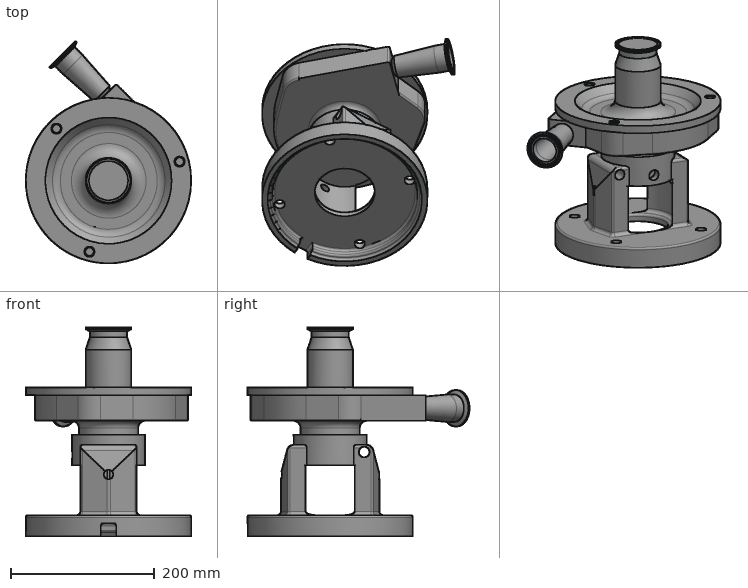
import cadquery as cq
import math

flange_radius = 115.05
base_height = 29.3
base_edge_fillet = 2.8
recess_radius = 101.0
recess_height = 18.0
recess_fillet = 3.5
recess_mouth_depth = 2.5
recess_step_radius = 3.0
bore_radius = 41.7
bore_edge_fillet = 3.7
base_hole_radius = 7.0
base_hole_circle_radius = 92.7
notch_width = 21.0
notch_length = 21.5
notch_fillet = 3.5

leg_half_width = 39.2
leg_ridge_y = 69.0
leg_shoulder_y = 59.0
leg_top = 127.3
leg_inner_radius = 52.0
leg_slope_low_z = 86.0
leg_slope_high_y = 60.0
leg_slope_high_z = 120.0
leg_corner_fillet = 3.5
leg_ridge_fillet = 9.3
leg_top_fillet = 10.2
leg_side_fillet = 4.0
leg_foot_fillet = 5.3
ridge_hole_radius = 6.5
sight_slot_width = 2.8

hub_radius = 51.0
hub_bottom = 98.5
hub_top = 141.2
neck_radius = 41.5
neck_flare = 9.5
cross_hole_radius = 7.25
leg_hole_y, leg_hole_z = 47.3, 117.0
hub_hole_z = 113.0
hub_hole_depth = 12.5

casing_bottom = 160.3
casing_top = 196.0
casing_edge_fillet = 2.5
lobe_angles = (15.0, 135.0, 255.0)
lobe_offset = 83.7
lobe_radius = 30.0
wide_spread = 35.0
narrow_spread = 30.0

flange_top = 207.0
bolt_circle_radius = 102.2
bolt_hole_radius = 6.0
bolt_hole_chamfer = 1.2
bolt_hole_depth = 31.0
dish_rim_radius = 87.7
dish_cone_radius = 78.0
dish_cone_depth = 10.8
dish_floor_outer_radius = 67.3
dish_floor_inner_radius = 52.0
dish_floor_depth = 15.5

total_height = 290.5
inlet_radius = 31.8
inlet_shoulder_z = 259.5
inlet_neck_radius = 26.0
inlet_neck_bottom_z = 276.8
inlet_neck_top_z = 284.8
ferrule_thickness = 2.5
ferrule_groove_depth = 1.0
inlet_groove_radius = 27.2
inlet_groove_width = 3.0

outlet_direction = 135.0
outlet_end = 169.5
outlet_axis_offset = 79.0
outlet_ferrule_radius = 25.48
outlet_groove_radius = 20.5
outlet_groove_width = 2.2
outlet_radius = 19.0
outlet_straight = 20.0
outlet_root_radius = 15.5
outlet_wall = 2.2
outlet_bore_straight = 12.7
outlet_axis_z = 178.0
outlet_root_bevel = 4.5
ferrule_flare = 2.5
block_end = 87.5
block_corner_fillet = 3.0


def polar(radius, angle):
    """Point at the given radius and angle in degrees."""
    return cq.Vector(radius * math.cos(math.radians(angle)), radius * math.sin(math.radians(angle)))


def cylinder(radius, bottom, top):
    return cq.Workplane("XY").workplane(offset=bottom).circle(radius).extrude(top - bottom)


def ring(inner, outer, bottom, top):
    return cylinder(outer, bottom, top).cut(cylinder(inner, bottom, top))


def rod_x(radius, y, z, start, end):
    return cq.Workplane("YZ", origin=(start, 0, 0)).center(y, z).circle(radius).extrude(end - start)


def make_base():
    plate = cylinder(flange_radius, 0, base_height).faces(">Z").edges().fillet(base_edge_fillet)
    recess = cylinder(recess_radius, 0, recess_height).faces(">Z").edges().fillet(recess_fillet)

    step = recess_step_radius
    bulge = step * math.sqrt(0.5)
    middle_radius = recess_radius + step
    middle_z = recess_mouth_depth + step
    mouth = (
        cq.Workplane("XZ")
        .lineTo(middle_radius + step, 0)
        .lineTo(middle_radius + step, recess_mouth_depth)
        .threePointArc((middle_radius + bulge, middle_z - step + bulge), (middle_radius, middle_z))
        .threePointArc((middle_radius - bulge, middle_z + step - bulge), (recess_radius, middle_z + step))
        .lineTo(0, middle_z + step)
        .close()
        .revolve(360, (0, 0, 0), (0, 1, 0))
    )
    notch = (
        cq.Workplane("XY")
        .box(notch_width, notch_length, recess_height, centered=(True, False, False))
        .translate((0, -flange_radius, 0))
        .edges("|Y and >Z")
        .fillet(notch_fillet)
    )
    return plate.cut(recess).cut(mouth).cut(notch)


def cut_base_bores(body):
    mouth_radius = bore_radius + bore_edge_fillet
    bulge = bore_edge_fillet * (1 - math.sqrt(0.5))
    bore = (
        cq.Workplane("XZ")
        .lineTo(bore_radius, 0)
        .lineTo(bore_radius, base_height - bore_edge_fillet)
        .threePointArc((bore_radius + bulge, base_height - bulge), (mouth_radius, base_height))
        .lineTo(0, base_height)
        .close()
        .revolve(360, (0, 0, 0), (0, 1, 0))
    )
    body = body.cut(bore)
    for angle in (45, 135, 225, 315):
        hole = cylinder(base_hole_radius, 0, base_height)
        body = body.cut(hole.translate(polar(base_hole_circle_radius, angle)))
    return body


def make_legs():
    """Hexagonal prism hollowed by a cylinder, leaving a leg on each Y side."""
    prism = (
        cq.Workplane("XY")
        .workplane(offset=base_height)
        .polyline([
            (0, -leg_ridge_y),
            (leg_half_width, -leg_shoulder_y),
            (leg_half_width, leg_shoulder_y),
            (0, leg_ridge_y),
            (-leg_half_width, leg_shoulder_y),
            (-leg_half_width, -leg_shoulder_y),
        ])
        .close()
        .extrude(leg_top - base_height)
    )
    prism = prism.edges("|Z and (>Y or <Y)").fillet(leg_ridge_fillet)
    prism = prism.edges("|Z and (>X or <X)").fillet(leg_corner_fillet)

    slope = (leg_ridge_y - leg_slope_high_y) / (leg_slope_high_z - leg_slope_low_z)
    slope_top_y = leg_ridge_y - slope * (leg_top - leg_slope_low_z)
    side_profile = (
        cq.Workplane("YZ")
        .polyline([
            (-leg_ridge_y, base_height),
            (-leg_ridge_y, leg_slope_low_z),
            (-slope_top_y, leg_top),
            (slope_top_y, leg_top),
            (leg_ridge_y, leg_slope_low_z),
            (leg_ridge_y, base_height),
        ])
        .close()
        .extrude(leg_half_width, both=True)
        .edges("|X and >Z")
        .fillet(leg_top_fillet)
    )
    front_profile = (
        cq.Workplane("XY")
        .box(2 * leg_half_width, 2 * leg_ridge_y, leg_top, centered=(True, True, False))
        .edges("|Y and >Z")
        .fillet(leg_side_fillet)
    )
    legs = prism.intersect(side_profile).intersect(front_profile)
    return legs.cut(cylinder(leg_inner_radius, base_height, hub_bottom))


def add_foot_fillets(body):
    margin = 3.0
    foot = cq.selectors.BoxSelector(
        (-leg_half_width - margin, -leg_ridge_y - margin, base_height - 0.3),
        (leg_half_width + margin, leg_ridge_y + margin, base_height + 0.3),
    )
    return body.edges(foot).fillet(leg_foot_fillet)


def cut_leg_holes(body):
    body = body.cut(rod_x(cross_hole_radius, leg_hole_y, leg_hole_z, -leg_half_width, leg_half_width))
    body = body.cut(rod_x(cross_hole_radius, 0, hub_hole_z, -hub_radius, hub_hole_depth - hub_radius))

    ridge_hole = (
        cq.Workplane("XZ").center(0, leg_slope_low_z).circle(ridge_hole_radius).extrude(leg_ridge_y)
    )
    sight_slot = (
        cq.Workplane("XY")
        .box(sight_slot_width, leg_ridge_y, 2 * ridge_hole_radius, centered=(True, False, True))
        .translate((0, 0, leg_slope_low_z))
    )
    return body.cut(ridge_hole).cut(sight_slot)


def make_hub_and_neck():
    flare_bottom = casing_bottom - neck_flare
    flare_middle = neck_flare * (1 - math.sqrt(0.5))
    return (
        cq.Workplane("XZ")
        .moveTo(0, hub_bottom)
        .lineTo(hub_radius, hub_bottom)
        .lineTo(hub_radius, hub_top)
        .lineTo(neck_radius, hub_top)
        .lineTo(neck_radius, flare_bottom)
        .threePointArc(
            (neck_radius + flare_middle, casing_bottom - flare_middle),
            (neck_radius + neck_flare, casing_bottom),
        )
        .lineTo(neck_radius + neck_flare, casing_bottom + casing_edge_fillet)
        .lineTo(0, casing_bottom + casing_edge_fillet)
        .close()
        .revolve(360, (0, 0, 0), (0, 1, 0))
    )


def tangent_radius(spread):
    """Radius of the centred arc touched by a lobe flank turned by the spread angle."""
    return lobe_offset * math.cos(math.radians(spread)) + lobe_radius


def casing_outline():
    """Lobes joined by straight flanks to arcs centred on the main axis."""
    spreads_after = (wide_spread, narrow_spread, wide_spread)
    spreads_before = (wide_spread, wide_spread, narrow_spread)
    outline = None
    for index, angle in enumerate(lobe_angles):
        center = polar(lobe_offset, angle)
        start = angle - spreads_before[index]
        end = angle + spreads_after[index]
        next_index = (index + 1) % len(lobe_angles)
        arc_end = angle + 120 - spreads_before[next_index]
        arc_radius = tangent_radius(spreads_after[index])

        lobe_start = center + polar(lobe_radius, start)
        if outline is None:
            outline = cq.Workplane("XY").workplane(offset=casing_bottom).moveTo(lobe_start.x, lobe_start.y)
        else:
            outline = outline.lineTo(lobe_start.x, lobe_start.y)
        outline = outline.threePointArc(
            (center + polar(lobe_radius, angle)).toTuple()[:2],
            (center + polar(lobe_radius, end)).toTuple()[:2],
        )
        outline = outline.lineTo(*polar(arc_radius, end).toTuple()[:2])
        outline = outline.threePointArc(
            polar(arc_radius, (end + arc_end) / 2).toTuple()[:2],
            polar(arc_radius, arc_end).toTuple()[:2],
        )
    return outline.close()


def make_casing():
    height = casing_top - casing_bottom
    block_start = -lobe_offset * math.sin(math.radians(narrow_spread))
    block = (
        cq.Workplane("XY")
        .box(block_end - block_start, tangent_radius(narrow_spread), height, centered=False)
        .translate((block_start, -tangent_radius(narrow_spread), casing_bottom))
        .edges("|Z and >X and <Y")
        .fillet(block_corner_fillet)
        .rotate((0, 0, 0), (0, 0, 1), outlet_direction)
    )
    casing = casing_outline().extrude(height).faces("<Z").edges().fillet(casing_edge_fillet)
    return casing.union(block)


def make_flange():
    return cylinder(flange_radius, casing_top, flange_top)


def cut_dish(body):
    floor_z = flange_top - dish_floor_depth
    cone_z = flange_top - dish_cone_depth
    outer_run = dish_cone_radius - dish_floor_outer_radius
    outer_rise = cone_z - floor_z
    inner_run = dish_floor_inner_radius - inlet_radius

    def point_on_arc(run, rise):
        radius = (run**2 + rise**2) / (2 * rise)
        half_turn = math.asin(run / radius) / 2
        return radius * math.sin(half_turn), radius * (1 - math.cos(half_turn))

    outer_step, outer_lift = point_on_arc(outer_run, outer_rise)
    inner_step, inner_lift = point_on_arc(inner_run, dish_floor_depth)
    dish = (
        cq.Workplane("XZ")
        .moveTo(dish_rim_radius, flange_top)
        .lineTo(dish_cone_radius, cone_z)
        .threePointArc(
            (dish_floor_outer_radius + outer_step, floor_z + outer_lift),
            (dish_floor_outer_radius, floor_z),
        )
        .lineTo(dish_floor_inner_radius, floor_z)
        .threePointArc(
            (dish_floor_inner_radius - inner_step, floor_z + inner_lift),
            (inlet_radius, flange_top),
        )
        .close()
        .revolve(360, (0, 0, 0), (0, 1, 0))
    )
    return body.cut(dish)


def cut_bolt_holes(body):
    for angle in lobe_angles:
        hole = cylinder(bolt_hole_radius, flange_top - bolt_hole_depth, flange_top)
        mouth = (
            cylinder(bolt_hole_radius + bolt_hole_chamfer, flange_top - bolt_hole_chamfer, flange_top)
            .faces("<Z")
            .edges()
            .chamfer(bolt_hole_chamfer * 0.99)
        )
        body = body.cut(hole.union(mouth).translate(polar(bolt_circle_radius, angle)))
    return body


def make_inlet():
    column = (
        cq.Workplane("XZ")
        .moveTo(0, casing_top - dish_floor_depth)
        .lineTo(inlet_radius, casing_top - dish_floor_depth)
        .lineTo(inlet_radius, inlet_shoulder_z)
        .lineTo(inlet_neck_radius, inlet_neck_bottom_z)
        .lineTo(inlet_neck_radius, inlet_neck_top_z)
        .lineTo(inlet_radius, total_height - ferrule_thickness)
        .lineTo(inlet_radius, total_height)
        .lineTo(0, total_height)
        .close()
        .revolve(360, (0, 0, 0), (0, 1, 0))
    )
    groove = ring(
        inlet_groove_radius,
        inlet_groove_radius + inlet_groove_width,
        total_height - ferrule_groove_depth,
        total_height,
    )
    return column.cut(groove)


def make_outlet():
    """Tapered pipe with a ferrule, built upright and then laid on its axis."""
    root = block_end
    taper_start = root + outlet_root_bevel
    taper_end = outlet_end - outlet_straight
    ferrule_back = outlet_end - ferrule_thickness
    pipe = (
        cq.Workplane("XZ")
        .moveTo(0, root)
        .lineTo(outlet_root_radius - outlet_root_bevel, root)
        .lineTo(outlet_root_radius, taper_start)
        .lineTo(outlet_radius, taper_end)
        .lineTo(outlet_radius, ferrule_back - ferrule_flare)
        .lineTo(outlet_ferrule_radius, ferrule_back)
        .lineTo(outlet_ferrule_radius, outlet_end)
        .lineTo(outlet_radius - outlet_wall, outlet_end)
        .lineTo(outlet_radius - outlet_wall, outlet_end - outlet_bore_straight)
        .lineTo(outlet_root_radius - outlet_wall, taper_start)
        .lineTo(0, taper_start)
        .close()
        .revolve(360, (0, 0, 0), (0, 1, 0))
    )
    groove = ring(
        outlet_groove_radius,
        outlet_groove_radius + outlet_groove_width,
        outlet_end - ferrule_groove_depth,
        outlet_end,
    )
    return (
        pipe.cut(groove)
        .rotate((0, 0, 0), (0, 1, 0), 90)
        .translate((0, -outlet_axis_offset, outlet_axis_z))
        .rotate((0, 0, 0), (0, 0, 1), outlet_direction)
    )


stand = add_foot_fillets(make_base().union(make_legs()))
stand = cut_base_bores(stand)
stand = cut_leg_holes(stand.union(make_hub_and_neck()))
head = cut_dish(make_casing().union(make_flange()))
head = cut_bolt_holes(head)
result = stand.union(head).union(make_inlet()).union(make_outlet())